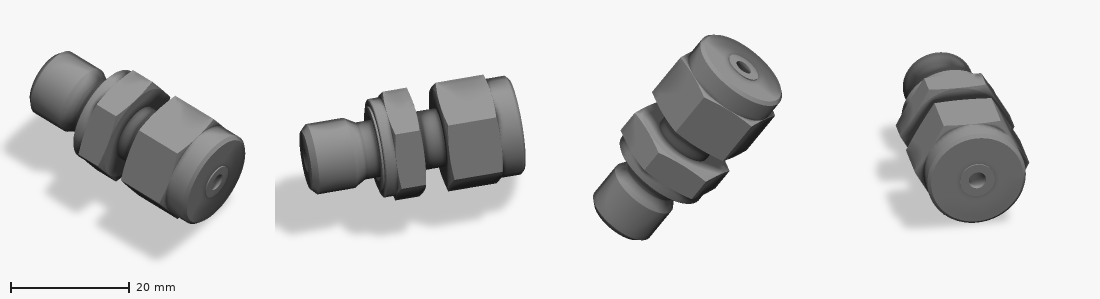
import cadquery as cq
import math


across_flats = 17.0
corner_radius = across_flats / math.sqrt(3)
hex_bevel_angle = 15
hex_bevel_radius = 8.43

total_length = 36.5
spigot_bevel = 1.02
cone_start = 7.45
cone_end = 9.4
seal_face = 11.7
flange_start = 12.05
flange_bevel = 0.15
hex_start = 14.0
hex_end = 18.95

spigot_radius = 6.02
neck_radius = 4.9
seal_radius = 7.23
recess_radius = 5.6
flange_radius = 8.43
shank_radius = 5.0
tail_radius = 3.0
bore_radius = 1.5
bore_mouth_radius = 2.0
bore_mouth_depth = bore_mouth_radius - bore_radius

recess_end = seal_face + recess_radius - neck_radius

nut_start = 23.18
nut_hex_end = 32.23
nut_end = 36.28
nut_collar_radius = 8.45
nut_collar_bevel = 0.55

shank_end = nut_hex_end


def cylinder(start, end, radius):
    """Cylinder on the X axis from start to end."""
    return cq.Workplane("YZ", origin=(start, 0, 0)).circle(radius).extrude(end - start)


def revolve_profile(points):
    """Solid of revolution about X from (x, radius) points, closed along the axis."""
    return cq.Workplane("XY").polyline(points).close().revolve(360, (0, 0, 0), (1, 0, 0))


def bevelled_hex(start, end):
    """Hexagonal prism with corners on +/-Y, both ends turned to a shallow cone."""
    prism = cq.Workplane("YZ", origin=(start, 0, 0)).polygon(6, 2 * corner_radius).extrude(end - start)
    bevel_depth = (corner_radius - hex_bevel_radius) * math.tan(math.radians(hex_bevel_angle))
    envelope = revolve_profile([
        (start, 0),
        (start, hex_bevel_radius),
        (start + bevel_depth, corner_radius),
        (end - bevel_depth, corner_radius),
        (end, hex_bevel_radius),
        (end, 0),
    ])
    return prism.intersect(envelope)


def make_spigot():
    """Bevelled front spigot tapering down to the neck, which runs on to the floor of the conical recess."""
    return revolve_profile([
        (0, 0),
        (0, spigot_radius - spigot_bevel),
        (spigot_bevel, spigot_radius),
        (cone_start, spigot_radius),
        (cone_end, neck_radius),
        (recess_end, neck_radius),
        (recess_end, 0),
    ])


def make_flange():
    """Raised seal face and the round flange in front of the hex, with a conical recess around the neck."""
    seal = cylinder(seal_face, flange_start, seal_radius)
    flange = cylinder(flange_start, hex_start, flange_radius).faces("<X").chamfer(flange_bevel)
    recess = revolve_profile([
        (seal_face, 0),
        (seal_face, recess_radius),
        (recess_end, neck_radius),
        (recess_end, 0),
    ])
    return seal.union(flange).cut(recess)


def make_shank():
    """Shank that carries the nut, with its thinner tail."""
    shank = cylinder(hex_end, shank_end, shank_radius)
    return shank.union(cylinder(shank_end, total_length, tail_radius))


def make_bore():
    """Through bore with a countersunk mouth at the front."""
    return revolve_profile([
        (0, 0),
        (0, bore_mouth_radius),
        (bore_mouth_depth, bore_radius),
        (total_length, bore_radius),
        (total_length, 0),
    ])


def make_fitting_body():
    body = make_spigot().union(make_flange())
    body = body.union(bevelled_hex(hex_start, hex_end)).union(make_shank())
    return body.cut(make_bore())


def make_nut():
    """Union nut: hex, bevelled round collar, and a stepped hole that fits the shank."""
    collar = cylinder(nut_hex_end, nut_end, nut_collar_radius).faces(">X").chamfer(nut_collar_bevel)
    nut = bevelled_hex(nut_start, nut_hex_end).union(collar)
    shank_hole = cylinder(nut_start, shank_end, shank_radius)
    tail_hole = cylinder(shank_end, nut_end, tail_radius)
    return nut.cut(shank_hole).cut(tail_hole)


fitting_body = make_fitting_body()
nut = make_nut()

result = cq.Compound.makeCompound([fitting_body.val(), nut.val()])